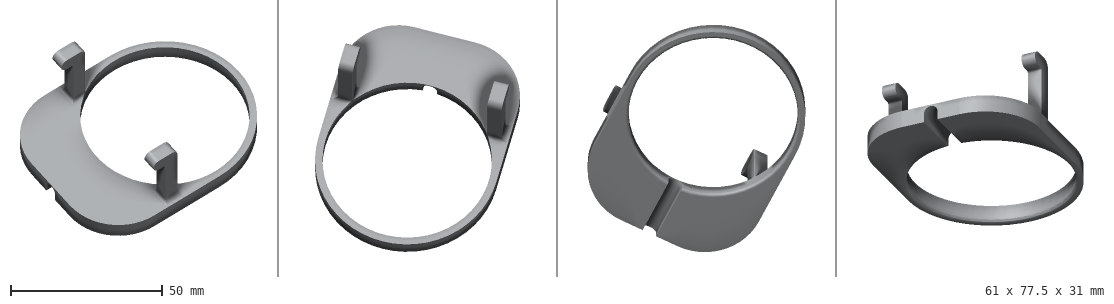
import cadquery as cq

width = 61.0
length = 77.5
plate_thickness = 6.05
bore_diameter = 56.0
corner_radius = 20.0
bore_edge_radius = 1.0
ring_radius = width / 2
bore_radius = bore_diameter / 2
front_y = ring_radius - length

channel_width = 4.95
channel_height = 5.5

total_height = 31.0
post_size = 4.95
hook_reach = 9.9
hook_round = post_size / 2
inner_corner_radius = 0.7
post_back_y = -15.6
post_front_y = post_back_y - post_size
post_outer_x = -bore_radius
post_inner_x = post_outer_x + post_size

outer_flare = 2.0
flare = 1.0


def make_plate():
    base = (
        cq.Workplane("XY")
        .rect(width, -front_y)
        .extrude(plate_thickness)
        .translate((0, front_y / 2, 0))
        .edges("|Z and <Y")
        .fillet(corner_radius)
    )
    ring = cq.Workplane("XY").circle(ring_radius).extrude(plate_thickness)
    bore = cq.Workplane("XY").circle(bore_radius).extrude(plate_thickness)
    plate = base.union(ring).cut(bore)
    bore_edge = cq.selectors.RadiusNthSelector(1)
    return plate.faces("<Z").edges("%CIRCLE").edges(bore_edge).fillet(bore_edge_radius)


def make_channel():
    half_width = channel_width / 2
    spring_height = channel_height - half_width
    return (
        cq.Workplane("XZ")
        .moveTo(-half_width, 0)
        .lineTo(-half_width, spring_height)
        .threePointArc((0, channel_height), (half_width, spring_height))
        .lineTo(half_width, 0)
        .close()
        .extrude(-front_y)
    )


def make_flare(plane, low, high, low_radius, high_radius, depth):
    """Prism that widens downward to the plate through concave arcs on both sides."""
    top = plate_thickness + max(low_radius, high_radius)
    return (
        cq.Workplane(plane)
        .moveTo(low - low_radius, plate_thickness)
        .radiusArc((low, plate_thickness + low_radius), -low_radius)
        .lineTo(low, top + flare)
        .lineTo(high, top + flare)
        .lineTo(high, plate_thickness + high_radius)
        .radiusArc((high + high_radius, plate_thickness), -high_radius)
        .close()
        .extrude(depth, both=True)
    )


def make_left_hook():
    tip_y = post_back_y - hook_reach
    underside_z = total_height - post_size
    hook = (
        cq.Workplane("YZ")
        .workplane(offset=post_outer_x)
        .moveTo(post_back_y, plate_thickness)
        .lineTo(post_back_y, total_height - hook_round)
        .radiusArc((post_back_y - hook_round, total_height), -hook_round)
        .lineTo(tip_y + hook_round, total_height)
        .radiusArc((tip_y, total_height - hook_round), -hook_round)
        .radiusArc((tip_y + hook_round, underside_z), -hook_round)
        .lineTo(post_front_y - inner_corner_radius, underside_z)
        .radiusArc((post_front_y, underside_z - inner_corner_radius), inner_corner_radius)
        .lineTo(post_front_y, plate_thickness)
        .close()
        .extrude(post_size)
    )
    side_flare = make_flare("XZ", post_outer_x, post_inner_x, outer_flare, flare, length)
    end_flare = make_flare("YZ", post_front_y, post_back_y, flare, flare, width)
    bore_clearance = cq.Workplane("XY").circle(bore_radius).extrude(total_height)
    return hook.union(side_flare.intersect(end_flare)).cut(bore_clearance)


left_hook = make_left_hook()
right_hook = left_hook.mirror("YZ")
result = make_plate().cut(make_channel()).union(left_hook).union(right_hook)